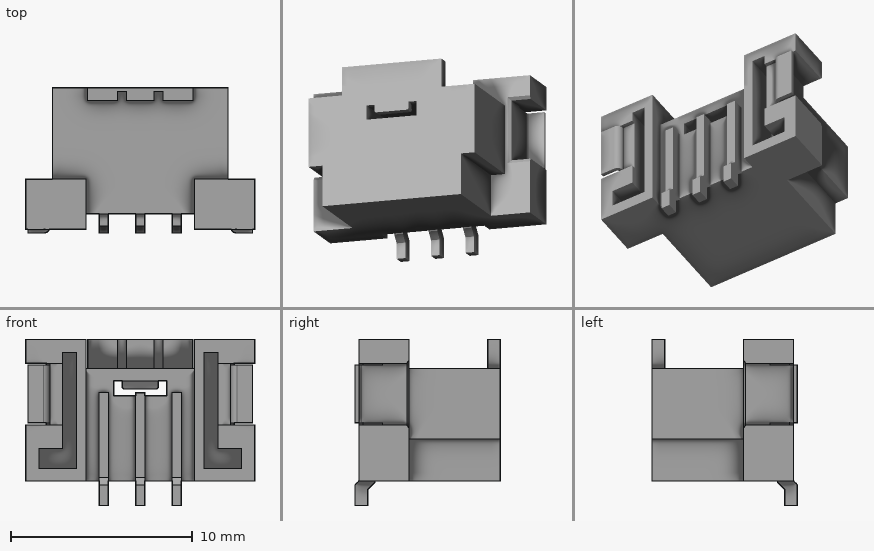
import cadquery as cq

overall_width = 12.6
overall_depth = 8.0
body_height = 7.8
pin_drop = 1.35
tab_thickness = 0.21

housing_half_width = 4.84
housing_top = 6.2
housing_depth = 6.94
lower_half_width = 4.03
lower_step_height = 2.3

wall_half_width = 2.9
wall_thickness = 0.7
notch_depth = 0.5
notch_width = 0.5

window_half_width = 1.45
window_bottom = 4.7
window_top = 5.5
lip_half_width = 1.0
lip_drop = 0.44
lip_thickness = 0.57
lip_lean = 0.16
lip_corner = 0.08

lug_inner = 2.97
lug_outer = overall_width / 2
lug_rear = 5.03
lug_front = overall_depth - tab_thickness

slot_inner = 3.5
slot_outer = 4.28
slot_top = 7.08
slot_bottom = 0.69
foot_top = 1.79
foot_outer = 5.57
slot_depth = 2.0

opening_bottom = 3.09
opening_top = 6.48
recess_depth = 0.24
flare_depth = 0.13
flare_growth = 0.18

tab_bottom = 3.2
tab_top = 6.39
tab_bend_radius = 0.15
tab_inner = 4.96
tab_outer = tab_inner + tab_thickness
tab_tip = 6.17
tab_rear = 6.49

pin_count = 3
pin_pitch = 2.0
pin_width = 0.5
pin_thickness = 0.7
pin_top = 4.86
pin_bend_half_height = 0.2
pin_offset = 2 * pin_bend_half_height
pin_rear_bend_drop = 0.26


def block(x_min, x_max, depth_min, depth_max, z_min, z_max):
    """Box between two X values, two depths from the rear face and two heights."""
    return cq.Workplane("XY").box(
        x_max - x_min, depth_max - depth_min, z_max - z_min, centered=False
    ).translate((x_min, -depth_max, z_min))


def make_housing():
    upper = block(
        -housing_half_width, housing_half_width, 0, housing_depth, lower_step_height, housing_top
    )
    lower = block(-lower_half_width, lower_half_width, 0, housing_depth, 0, lower_step_height)
    window = block(
        -window_half_width, window_half_width, 0, housing_depth, window_bottom, window_top
    )
    return upper.union(lower).cut(window)


def make_polarising_wall():
    wall = block(-wall_half_width, wall_half_width, 0, wall_thickness, housing_top, body_height)
    for side in (-1, 1):
        center = side * pin_pitch / 2
        notch = block(
            center - notch_width / 2,
            center + notch_width / 2,
            wall_thickness - notch_depth,
            wall_thickness,
            housing_top,
            body_height,
        )
        wall = wall.cut(notch)
    return wall


def make_latch_lip():
    """Lip whose front face leans rearward toward the window ceiling."""
    profile = [
        (0, window_top),
        (0, window_top - lip_drop),
        (-lip_thickness, window_top - lip_drop),
        (-lip_thickness + lip_lean, window_top),
    ]
    lip = cq.Workplane("YZ").polyline(profile).close().extrude(lip_half_width, both=True)
    bottom_side_edges = lip.faces("<Z").edges("<X or >X")
    return bottom_side_edges.chamfer(lip_corner)


def make_side_opening():
    """Opening in the outer side of the right-hand lug, widening where it meets the rear face."""
    straight = block(tab_outer, lug_outer, lug_rear, lug_front, opening_bottom, opening_top)
    width = lug_outer - tab_outer
    height = opening_top - opening_bottom
    flare = (
        cq.Workplane("XZ", origin=(0, -lug_rear, 0))
        .center(tab_outer + width / 2, opening_bottom + height / 2)
        .rect(width + 2 * flare_growth, height + 2 * flare_growth)
        .workplane(offset=flare_depth)
        .rect(width, height)
        .loft(ruled=True)
    )
    flare_exit = flare.translate((width / 2, 0, 0))
    return straight.union(flare).union(flare_exit)


def make_lug():
    lug = block(lug_inner, lug_outer, lug_rear, lug_front, 0, body_height)
    lug = lug.cut(make_side_opening())
    recess = block(
        slot_outer, tab_outer, lug_front - recess_depth, lug_front, opening_bottom, opening_top
    )
    tab_pocket = block(tab_inner, tab_outer, tab_rear, lug_front, opening_bottom, opening_top)
    return lug.cut(recess).cut(tab_pocket)


def make_slot():
    """Blind L-shaped slot of the right-hand lug, also cut into the side of the housing."""
    slot_rear = lug_front - slot_depth
    upright = block(slot_inner, slot_outer, slot_rear, lug_front, slot_bottom, slot_top)
    foot = block(slot_inner, foot_outer, slot_rear, lug_front, slot_bottom, foot_top)
    return upright.union(foot)


def make_solder_tab():
    strip = block(tab_inner, tab_outer, tab_rear, overall_depth, tab_bottom, tab_top)
    flange = block(tab_inner, tab_tip, lug_front, overall_depth, tab_bottom, tab_top)
    tab = strip.union(flange)
    outer_corner = cq.selectors.NearestToPointSelector(
        (tab_inner, -overall_depth, (tab_bottom + tab_top) / 2)
    )
    inner_corner = cq.selectors.NearestToPointSelector(
        (tab_outer, -lug_front, (tab_bottom + tab_top) / 2)
    )
    tab = tab.edges(inner_corner).fillet(tab_bend_radius)
    return tab.edges(outer_corner).fillet(tab_bend_radius + tab_thickness)


def make_pin(center_x):
    """Upright pin with a forward jog just below the housing."""
    front = -overall_depth
    rear = front + pin_thickness
    rear_bend_top = pin_bend_half_height - pin_rear_bend_drop
    profile = [
        (front + pin_offset, pin_top),
        (front + pin_offset, pin_bend_half_height),
        (front, -pin_bend_half_height),
        (front, -pin_drop),
        (rear, -pin_drop),
        (rear, rear_bend_top - pin_offset),
        (rear + pin_offset, rear_bend_top),
        (rear + pin_offset, pin_top),
    ]
    pin = cq.Workplane("YZ").polyline(profile).close().extrude(pin_width / 2, both=True)
    return pin.translate((center_x, 0, 0))


result = make_housing().union(make_polarising_wall()).union(make_latch_lip())

right_lug = make_lug().union(make_solder_tab())
result = result.union(right_lug).union(right_lug.mirror("YZ"))

right_slot = make_slot()
result = result.cut(right_slot).cut(right_slot.mirror("YZ"))

for index in range(pin_count):
    result = result.union(make_pin((index - (pin_count - 1) / 2) * pin_pitch))